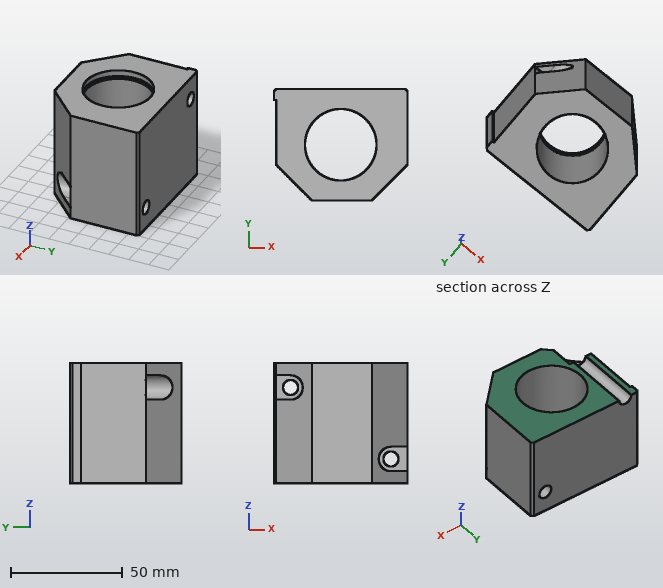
import cadquery as cq

width = 60.0
depth = 50.0
height = 54.0
lip_step = 1.0
lip_length = 5.0
rear_chamfer = 1.0
front_chamfer = 16.0

bore_diameter = 32.0
groove_diameter = 33.5
groove_top_offset = 3.0
groove_width = 1.5
bore_x = width / 2
bore_y = depth / 2

bolt_diameter = 6.65
slot_width = 11.0
bolt_side_offset = 7.5
bolt_end_offset = 11.0
slot_floor_y = front_chamfer


def make_block():
    """Extrude the block outline, with its left lip and chamfered corners."""
    outline = (
        cq.Workplane("XY")
        .moveTo(lip_step + front_chamfer, 0)
        .lineTo(width - front_chamfer, 0)
        .lineTo(width, front_chamfer)
        .lineTo(width, depth - rear_chamfer)
        .lineTo(width - rear_chamfer, depth)
        .lineTo(rear_chamfer, depth)
        .lineTo(0, depth - rear_chamfer)
        .lineTo(0, depth - lip_length)
        .lineTo(lip_step, depth - lip_length)
        .lineTo(lip_step, front_chamfer)
        .close()
    )
    return outline.extrude(height)


def make_bore():
    """Through bore joined to the wider ring groove."""
    bore = cq.Workplane("XY").center(bore_x, bore_y).circle(bore_diameter / 2).extrude(height)
    groove_bottom = height - groove_top_offset - groove_width
    groove = (
        cq.Workplane("XY", origin=(bore_x, bore_y, groove_bottom))
        .circle(groove_diameter / 2)
        .extrude(groove_width)
    )
    return bore.union(groove)


def make_bolt_cut(x, z, side_x):
    """Bolt hole along Y, with a round-ended slot open toward the side at side_x."""
    hole = cq.Workplane("XZ", origin=(x, depth, z)).circle(bolt_diameter / 2).extrude(depth)
    round_end = cq.Workplane("XZ", origin=(x, slot_floor_y, z)).circle(slot_width / 2).extrude(slot_floor_y)
    open_end = (
        cq.Workplane("XZ", origin=((x + side_x) / 2, slot_floor_y, z))
        .rect(abs(side_x - x), slot_width)
        .extrude(slot_floor_y)
    )
    return hole.union(round_end).union(open_end)


result = make_block().cut(make_bore())
bolt_places = [
    (bolt_side_offset, height - bolt_end_offset, 0),
    (width - bolt_side_offset, bolt_end_offset, width),
]
for bolt_x, bolt_z, open_side_x in bolt_places:
    result = result.cut(make_bolt_cut(bolt_x, bolt_z, open_side_x))